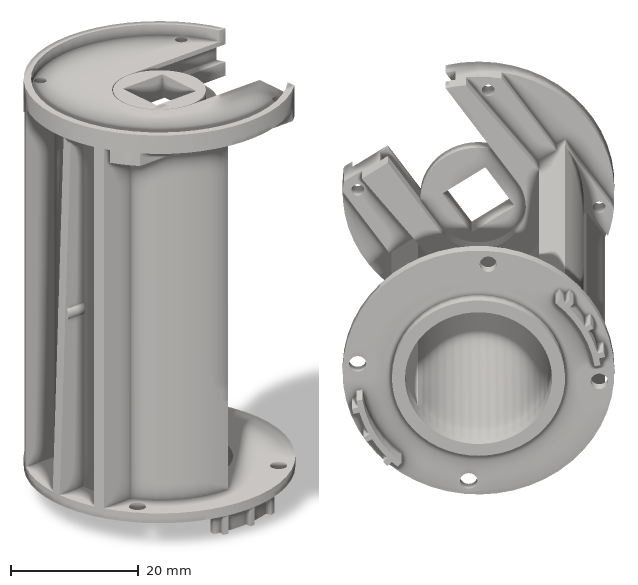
import cadquery as cq
import math

height = 70.6
boss_bottom = 1.7
base_bottom = 3.7
base_top = 5.4
rail_bottom = 62.4
groove_bottom = 64.8
pad_bottom = 65.2
flange_top = 66.8
plate_bottom = 67.4
groove_top = 67.85
plate_floor = 68.6

disc_diameter = 42.6
disc_radius = disc_diameter / 2
rim_inner_radius = 20.1
boss_radius = 13.55
tube_radius = 16.45
bore_radius = 11.5

slot_radius = 7.4
groove_radius = 8.9
short_arm_end = 14.3

rail_half_width = 11.45
rail_turn = -3.5

flange_radius = 9.1
hub_radius = 7.3
drive_square = 8.2

screw_x = 14.75
screw_y = 11.9
top_hole_radius = 1.0
base_hole_radius = 1.35

rib_root = -12.4
side_ribs = ((-12.0, -10.5), (7.5, 9.1))
middle_rib_half = 0.85
middle_rib_top_y = -19.0
pin_radius = 1.3
pin_height = 36.15
pin_end = -19.85

left_pad = (-16.5, -13.05)
right_pad = (10.0, 14.0)
rear_pad = (-14.8, 16.9)

foot_inner_radius = 18.4
foot_outer_radius = 19.35
tooth_radius = 20.3
tooth_width = 0.9
foot_half_angle = 20.0
tooth_pitch = 15.0
foot_turn = 5.2


def disc(radius, bottom, top):
    return cq.Workplane("XY").workplane(offset=bottom).circle(radius).extrude(top - bottom)


def block(x_range, y_range, bottom, top):
    x_low, x_high = x_range
    y_low, y_high = y_range
    size = (x_high - x_low, y_high - y_low, top - bottom)
    return cq.Workplane("XY").box(*size, centered=False).translate((x_low, y_low, bottom))


def round_ended_slot(radius, bottom, top):
    channel = block((-radius, radius), (0, 2 * disc_radius), bottom, top)
    return disc(radius, bottom, top).union(channel)


def screw_holes(radius, bottom, top):
    points = [(screw_x, screw_y), (-screw_y, screw_x), (-screw_x, -screw_y), (screw_y, -screw_x)]
    plane = cq.Workplane("XY").workplane(offset=bottom)
    return plane.pushPoints(points).circle(radius).extrude(top - bottom)


def make_base():
    base = disc(disc_radius, base_bottom, base_top).union(disc(boss_radius, boss_bottom, base_bottom))
    base = base.cut(disc(bore_radius, boss_bottom, base_top))
    return base.cut(screw_holes(base_hole_radius, base_bottom, base_top))


def make_half_tube():
    tube = disc(tube_radius, base_top, plate_bottom).cut(disc(bore_radius, base_top, rail_bottom))
    front_half = block((-disc_radius, disc_radius), (-disc_radius, 0), base_top, plate_bottom)
    return tube.intersect(front_half)


def make_ribs():
    ribs = disc(pin_radius, 0, rib_root - pin_end)
    ribs = ribs.rotate((0, 0, 0), (1, 0, 0), 90).translate((0, rib_root, pin_height))
    for x_range in side_ribs:
        ribs = ribs.union(block(x_range, (-disc_radius, rib_root), base_top, plate_bottom))
    profile = [
        (rib_root, base_top),
        (-disc_radius, base_top),
        (middle_rib_top_y, plate_bottom),
        (rib_root, plate_bottom),
    ]
    middle = cq.Workplane("YZ").polyline(profile).close().extrude(middle_rib_half, both=True)
    return ribs.union(middle).intersect(disc(disc_radius, base_top, plate_bottom))


def make_top():
    front = (-disc_radius, 0)
    rear = (0, disc_radius)
    rail_span = (-rail_half_width, rail_half_width)
    under = block(left_pad, front, pad_bottom, plate_bottom)
    under = under.union(block(right_pad, front, pad_bottom, plate_bottom))
    under = under.union(block(rear_pad, rear, pad_bottom, plate_bottom))
    rails = block(rail_span, (-disc_radius, 2 * disc_radius), rail_bottom, pad_bottom)
    rails = rails.rotate((0, 0, 0), (0, 0, 1), rail_turn)
    rails = rails.intersect(block((-disc_radius, disc_radius), rear, rail_bottom, pad_bottom))
    under = under.union(rails).intersect(disc(disc_radius, rail_bottom, plate_bottom))
    plate = disc(disc_radius, plate_bottom, height).cut(disc(rim_inner_radius, plate_floor, height))
    return plate.union(under)


def cut_openings(body):
    body = body.cut(round_ended_slot(slot_radius, rail_bottom, height))
    body = body.cut(round_ended_slot(groove_radius, groove_bottom, groove_top))
    body = body.cut(block((0, disc_radius), (short_arm_end, disc_radius), rail_bottom, height))
    return body.cut(screw_holes(top_hole_radius, pad_bottom, height))


def make_hub():
    hub = disc(flange_radius, groove_bottom, flange_top).union(disc(hub_radius, groove_bottom, plate_floor))
    half = drive_square / 2
    return hub.cut(block((-half, half), (-half, half), groove_bottom, plate_floor))


def make_foot(turn):
    reach = 2 * disc_radius
    half_angle = math.radians(foot_half_angle)
    corner = (reach * math.cos(half_angle), reach * math.sin(half_angle))
    outline = [(0, 0), (corner[0], -corner[1]), corner]
    sector = cq.Workplane("XY").polyline(outline).close().extrude(base_bottom)
    ring = disc(foot_outer_radius, 0, base_bottom).cut(disc(foot_inner_radius, 0, base_bottom))
    foot = ring.intersect(sector)
    tooth_x = ((foot_inner_radius + foot_outer_radius) / 2, tooth_radius)
    tooth = block(tooth_x, (-tooth_width / 2, tooth_width / 2), 0, base_bottom)
    for step in (-1, 0, 1):
        foot = foot.union(tooth.rotate((0, 0, 0), (0, 0, 1), step * tooth_pitch))
    return foot.rotate((0, 0, 0), (0, 0, 1), turn)


body = make_half_tube().union(make_top())
body = cut_openings(body)
body = body.union(make_base()).union(make_ribs()).union(make_hub())
for half_turn in (0, 180):
    body = body.union(make_foot(foot_turn + half_turn))
result = body